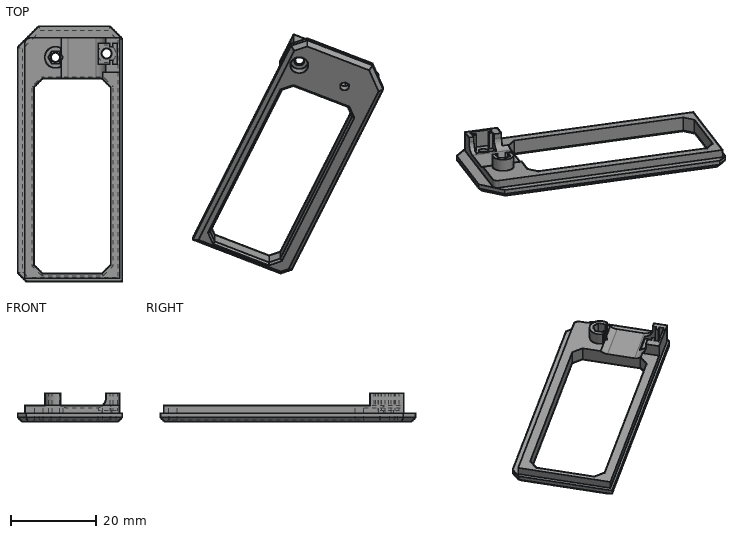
import cadquery as cq
import math

FLANGE_WIDTH = 24.52
FLANGE_LENGTH = 59.9
FLANGE_THICKNESS = 2.0
FLANGE_BOTTOM_CHAMFER = 1.0
BACK_LEFT_CUT = 4.9
BACK_RIGHT_CUT = 2.9
FRONT_LEFT_CUT = 2.0

LEFT = -FLANGE_WIDTH / 2
RIGHT = FLANGE_WIDTH / 2
FRONT = -FLANGE_LENGTH / 2
BACK = FLANGE_LENGTH / 2

FRAME_TOP = 3.85
FRAME_LEFT = LEFT + 1.66
FRAME_RIGHT = RIGHT - 0.6
FRAME_FRONT = FRONT + 0.8
FRAME_BACK = BACK - 2.75
FRAME_CORNER_RADIUS = 1.2

WINDOW_LEFT = LEFT + 3.82
WINDOW_RIGHT = RIGHT - 2.75
WINDOW_FRONT = FRONT + 1.9
WINDOW_BACK = BACK - 12.3
WINDOW_CORNER_CUT = 2.0
WINDOW_BOTTOM_CHAMFER = 0.5

CHANNEL_DEPTH = 0.6
CHANNEL_RADIUS = 2.4
CHANNEL_FLOOR = FRAME_TOP - CHANNEL_DEPTH
CHANNEL_FLOOR_LEFT = LEFT + 11.77
CHANNEL_FLOOR_RIGHT = LEFT + 18.3

PART_TOP = 6.74
POST_LENGTH = 8.0
POST_LEFT = CHANNEL_FLOOR_RIGHT + CHANNEL_RADIUS
POST_FRONT = FRAME_BACK - POST_LENGTH

POCKET_LEFT = LEFT + 18.85
POCKET_RIGHT = RIGHT - 1.12
POCKET_BACK = BACK - 3.95
POCKET_FRONT = BACK - 8.92
POCKET_FLOOR = 2.7
RIB_LEFT = LEFT + 21.55
RIB_WIDTH = 0.75
RIB_DEPTH = 0.9

SCREW_X = LEFT + 20.85
SCREW_Y = BACK - 6.4
SCREW_DIAMETER = 2.3
SCREW_HEAD_DIAMETER = 4.2
SCREW_HEAD_DEPTH = 2.0

BOSS_X = LEFT + 8.85
BOSS_Y = BACK - 7.3
BOSS_DIAMETER = 5.0
BOSS_FLAT_X = LEFT + 10.05
NUT_ACROSS_FLATS = 2.95
NUT_FLOOR = FLANGE_THICKNESS
BOSS_HOLE_DIAMETER = 2.1


def block(x_min, x_max, y_min, y_max, z_min, z_max):
    """Box given by its limits along each axis."""
    size = (x_max - x_min, y_max - y_min, z_max - z_min)
    return cq.Workplane("XY").box(*size, centered=False).translate((x_min, y_min, z_min))


def cylinder(x, y, diameter, z_min, z_max):
    """Upright cylinder between two heights."""
    return cq.Workplane("XY", origin=(x, y, z_min)).circle(diameter / 2).extrude(z_max - z_min)


def make_flange():
    outline = [
        (LEFT, FRONT + FRONT_LEFT_CUT),
        (LEFT + FRONT_LEFT_CUT, FRONT),
        (RIGHT, FRONT),
        (RIGHT, BACK - BACK_RIGHT_CUT),
        (RIGHT - BACK_RIGHT_CUT, BACK),
        (LEFT + BACK_LEFT_CUT, BACK),
        (LEFT, BACK - BACK_LEFT_CUT),
    ]
    plate = cq.Workplane("XY").polyline(outline).close().extrude(FLANGE_THICKNESS)
    return plate.faces("<Z").chamfer(FLANGE_BOTTOM_CHAMFER)


def make_frame():
    plate = block(FRAME_LEFT, FRAME_RIGHT, FRAME_FRONT, FRAME_BACK, FLANGE_THICKNESS, FRAME_TOP)
    return plate.edges("|Z and <X and >Y").fillet(FRAME_CORNER_RADIUS)


def make_window():
    """Opening with cut corners that widens at 45 degrees next to the underside."""
    opening = block(WINDOW_LEFT, WINDOW_RIGHT, WINDOW_FRONT, WINDOW_BACK, 0, PART_TOP)
    opening = opening.edges("|Z").chamfer(WINDOW_CORNER_CUT)
    narrow_outline = opening.faces("<Z").wires().val()
    wide_outline = narrow_outline.offset2D(WINDOW_BOTTOM_CHAMFER, "intersection")[0]
    raised_outline = narrow_outline.translate(cq.Vector(0, 0, WINDOW_BOTTOM_CHAMFER))
    flare = cq.Solid.makeLoft([wide_outline, raised_outline], True)
    return opening.union(cq.Workplane(flare))


def make_channel():
    """Space cleared along the channel, from its floor up to the top of the part."""
    arc_center_z = CHANNEL_FLOOR + CHANNEL_RADIUS
    diagonal = CHANNEL_RADIUS * math.cos(math.pi / 4)
    left_rise = math.sqrt(CHANNEL_RADIUS**2 - (CHANNEL_RADIUS - CHANNEL_DEPTH) ** 2)
    left_rim_x = CHANNEL_FLOOR_LEFT - left_rise
    left_half_angle = math.asin(left_rise / CHANNEL_RADIUS) / 2
    left_mid = (
        CHANNEL_FLOOR_LEFT - CHANNEL_RADIUS * math.sin(left_half_angle),
        arc_center_z - CHANNEL_RADIUS * math.cos(left_half_angle),
    )
    right_mid = (CHANNEL_FLOOR_RIGHT + diagonal, arc_center_z - diagonal)
    profile = (
        cq.Workplane("XZ", origin=(0, FRAME_BACK, 0))
        .moveTo(left_rim_x, FRAME_TOP)
        .threePointArc(left_mid, (CHANNEL_FLOOR_LEFT, CHANNEL_FLOOR))
        .lineTo(CHANNEL_FLOOR_RIGHT, CHANNEL_FLOOR)
        .threePointArc(right_mid, (POST_LEFT, arc_center_z))
        .lineTo(POST_LEFT, PART_TOP)
        .lineTo(left_rim_x, PART_TOP)
        .close()
    )
    return profile.extrude(FRAME_BACK - WINDOW_BACK)


def make_post():
    """Block reaching left over the channel, where the channel cut gives it its concave side."""
    return block(CHANNEL_FLOOR_RIGHT, FRAME_RIGHT, POST_FRONT, FRAME_BACK, FLANGE_THICKNESS, PART_TOP)


def make_pocket():
    """Space cleared in the post, leaving a guide rib on its front and back walls."""
    pocket = block(POCKET_LEFT, POCKET_RIGHT, POCKET_FRONT, POCKET_BACK, POCKET_FLOOR, PART_TOP)
    for rib_front in (POCKET_FRONT, POCKET_BACK - RIB_DEPTH):
        rib = block(
            RIB_LEFT, RIB_LEFT + RIB_WIDTH, rib_front, rib_front + RIB_DEPTH, POCKET_FLOOR, PART_TOP
        )
        pocket = pocket.cut(rib)
    return pocket


def make_screw_hole():
    hole = cylinder(SCREW_X, SCREW_Y, SCREW_DIAMETER, 0, PART_TOP)
    head = cylinder(SCREW_X, SCREW_Y, SCREW_HEAD_DIAMETER, 0, SCREW_HEAD_DEPTH)
    return hole.union(head)


def make_boss():
    boss_radius = BOSS_DIAMETER / 2
    boss = cylinder(BOSS_X, BOSS_Y, BOSS_DIAMETER, FRAME_TOP, PART_TOP)
    beyond_flat = block(
        BOSS_FLAT_X, BOSS_X + boss_radius, BOSS_Y - boss_radius, BOSS_Y + boss_radius, FRAME_TOP, PART_TOP
    )
    return boss.cut(beyond_flat)


def make_nut_seat():
    """Hexagon with corners along X, above a round through hole."""
    across_corners = NUT_ACROSS_FLATS / math.cos(math.pi / 6)
    hexagon = (
        cq.Workplane("XY", origin=(BOSS_X, BOSS_Y, NUT_FLOOR))
        .polygon(6, across_corners)
        .extrude(PART_TOP - NUT_FLOOR)
    )
    return hexagon.union(cylinder(BOSS_X, BOSS_Y, BOSS_HOLE_DIAMETER, 0, PART_TOP))


result = (
    make_flange()
    .union(make_frame())
    .union(make_post())
    .cut(make_channel())
    .cut(make_window())
    .cut(make_pocket())
    .cut(make_screw_hole())
    .union(make_boss())
    .cut(make_nut_seat())
)